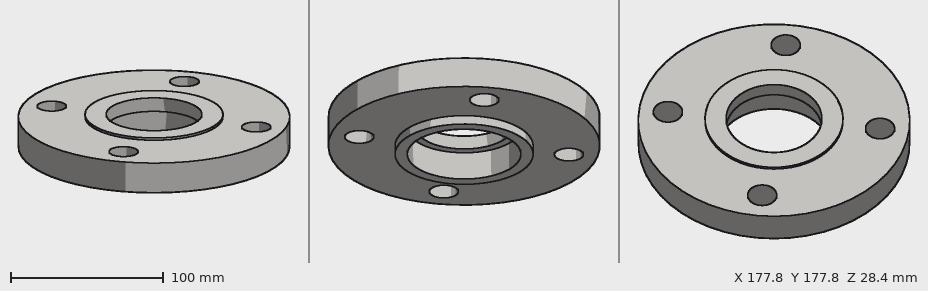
import cadquery as cq

flange_diameter = 177.8
overall_height = 28.45
raised_face_height = 1.6
face_to_back_thickness = 22.35
disc_thickness = face_to_back_thickness - raised_face_height

hub_diameter = 90.4
hub_height = overall_height - face_to_back_thickness

bore_diameter = 62.7
socket_diameter = 74.4
socket_depth = 19.05

bolt_circle_diameter = 139.7
bolt_hole_diameter = 19.05
bolt_hole_count = 4
first_bolt_angle = 180 / bolt_hole_count


def cylinder(diameter, bottom, height):
    """Upright cylinder on the Z axis, starting at the given height."""
    return cq.Workplane("XY").workplane(offset=bottom).circle(diameter / 2).extrude(height)


def flange_body():
    """Solid hub, disc and raised face; the hub's lower end lies on Z = 0."""
    hub = cylinder(hub_diameter, 0, hub_height)
    disc = cylinder(flange_diameter, hub_height, disc_thickness)
    raised_face = cylinder(hub_diameter, hub_height + disc_thickness, raised_face_height)
    return hub.union(disc).union(raised_face)


def stepped_bore():
    """Through bore together with the wider pipe socket at the hub end."""
    bore = cylinder(bore_diameter, 0, overall_height)
    socket = cylinder(socket_diameter, 0, socket_depth)
    return bore.union(socket)


def bolt_holes():
    """Through holes evenly spaced on the bolt circle."""
    return (
        cq.Workplane("XY")
        .polarArray(bolt_circle_diameter / 2, first_bolt_angle, 360, bolt_hole_count)
        .circle(bolt_hole_diameter / 2)
        .extrude(overall_height)
    )


result = flange_body().cut(stepped_bore()).cut(bolt_holes())